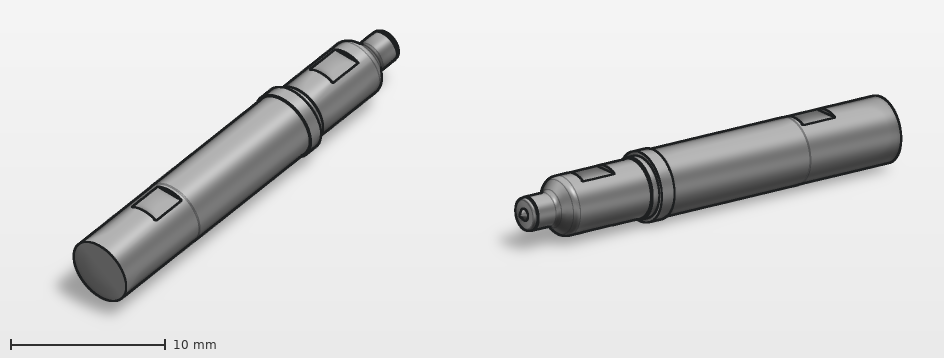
import cadquery as cq
import math

total_length = 28.9

rear_radius = 4.48 / 2
barrel_radius = 4.5 / 2
flange_radius = 4.7 / 2
shoulder_radius = 4.13 / 2
plunger_radius = 4.0 / 2
nose_radius = 2.25 / 2
rim_radius = 2.2 / 2
point_radius = 0.4

rear_end = 7.22
rear_step_length = 0.1
flange_start = 18.2
flange_length = 1.0
shoulder_length = 0.6
shoulder_chamfer = 0.1
plunger_end = 25.45
rim_start = 28.18
rim_step_length = 0.05

cone_angle = math.radians(45)
outer_round_radius = 0.6
inner_round_radius = 0.5
rim_round_radius = 0.15

rear_flat_start = 4.4
rear_flat_length = 2.55
rear_flat_height = 2.0
front_flat_start = 22.0
front_flat_length = 2.5
front_flat_height = 1.73


def turned_body():
    """Revolve the half outline (radius along X, length along Y) around the Y axis."""
    barrel_start = rear_end + rear_step_length
    flange_end = flange_start + flange_length
    shoulder_end = flange_end + shoulder_length
    face_position = total_length - point_radius

    sine = math.sin(cone_angle)
    cosine = math.cos(cone_angle)
    half_sine = math.sin(cone_angle / 2)
    half_cosine = math.cos(cone_angle / 2)

    outer_center = plunger_radius - outer_round_radius
    outer_mid = (
        outer_center + outer_round_radius * half_cosine,
        plunger_end + outer_round_radius * half_sine,
    )
    cone_base = (outer_center + outer_round_radius * cosine, plunger_end + outer_round_radius * sine)

    inner_center = nose_radius + inner_round_radius
    cone_top_radius = inner_center - inner_round_radius * cosine
    cone_length = (cone_base[0] - cone_top_radius) / math.tan(cone_angle)
    cone_top = (cone_top_radius, cone_base[1] + cone_length)
    nose_start = cone_top[1] + inner_round_radius * sine
    inner_mid = (
        inner_center - inner_round_radius * half_cosine,
        nose_start - inner_round_radius * half_sine,
    )

    rim_center = (rim_radius - rim_round_radius, face_position - rim_round_radius)
    rim_offset = rim_round_radius / math.sqrt(2)
    rim_mid = (rim_center[0] + rim_offset, rim_center[1] + rim_offset)

    outline = (
        cq.Workplane("XY")
        .moveTo(0, 0)
        .lineTo(rear_radius, 0)
        .lineTo(rear_radius, rear_end)
        .lineTo(barrel_radius, barrel_start)
        .lineTo(barrel_radius, flange_start)
        .lineTo(flange_radius, flange_start)
        .lineTo(flange_radius, flange_end)
        .lineTo(shoulder_radius, flange_end)
        .lineTo(shoulder_radius, shoulder_end - shoulder_chamfer)
        .lineTo(plunger_radius, shoulder_end)
        .lineTo(plunger_radius, plunger_end)
        .threePointArc(outer_mid, cone_base)
        .lineTo(*cone_top)
        .threePointArc(inner_mid, (nose_radius, nose_start))
        .lineTo(nose_radius, rim_start)
        .lineTo(rim_radius, rim_start + rim_step_length)
        .lineTo(rim_radius, rim_center[1])
        .threePointArc(rim_mid, (rim_center[0], face_position))
        .lineTo(point_radius, face_position)
        .lineTo(0, total_length)
        .close()
    )
    return outline.revolve(360, (0, 0, 0), (0, 1, 0))


def flat_pair(start, length, height):
    """Blocks that leave two flats at +height and -height along Z."""
    width = 2 * flange_radius
    block = cq.Workplane("XY").box(width, length, width, centered=(True, False, False))
    upper = block.translate((0, start, height))
    return upper.union(upper.mirror("XY"))


result = (
    turned_body()
    .cut(flat_pair(rear_flat_start, rear_flat_length, rear_flat_height))
    .cut(flat_pair(front_flat_start, front_flat_length, front_flat_height))
)